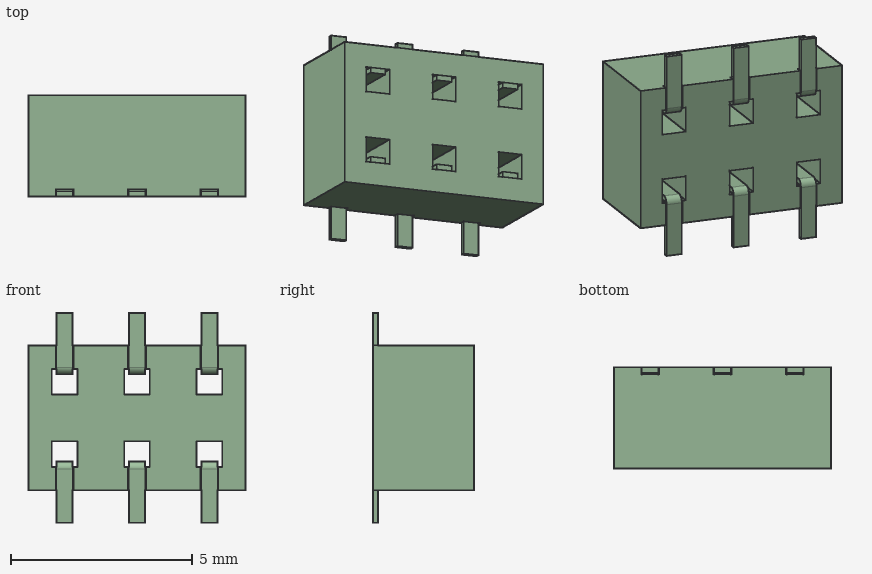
import cadquery as cq

HOUSING_LENGTH = 6.0
HOUSING_DEPTH = 2.8
HOUSING_HEIGHT = HOUSING_LENGTH * 2 / 3

PITCH = HOUSING_LENGTH / 3
COLUMNS = (-PITCH, 0, PITCH)
ROW_OFFSET = PITCH / 2
UPPER_ROW, LOWER_ROW = 1, -1
ROWS = (UPPER_ROW, LOWER_ROW)

CONTACT_WIDTH = 0.45
CONTACT_THICKNESS = 0.15
BEND_OUTER_RADIUS = 0.2
BEND_INNER_RADIUS = BEND_OUTER_RADIUS - CONTACT_THICKNESS
FOOT_OVERHANG = 0.9
FOOT_TIP = HOUSING_HEIGHT / 2 + FOOT_OVERHANG
TAIL_INNER_FACE = 1.2
TAIL_OUTER_FACE = TAIL_INNER_FACE + CONTACT_THICKNESS

SOCKET_SIZE = 2 * (TAIL_OUTER_FACE - ROW_OFFSET)

GROOVE_WIDTH = 0.5
GROOVE_DEPTH = 0.2
GROOVE_LENGTH = HOUSING_HEIGHT / 2 - ROW_OFFSET
GROOVE_OFFSET = ROW_OFFSET + GROOVE_LENGTH / 2


def block_from_front(width, depth, height):
    """Block centred in X and Z that runs back from the solder side."""
    return cq.Workplane("XY").box(width, depth, height, centered=(True, False, True))


def make_housing():
    body = block_from_front(HOUSING_LENGTH, HOUSING_DEPTH, HOUSING_HEIGHT)
    socket = block_from_front(SOCKET_SIZE, HOUSING_DEPTH, SOCKET_SIZE)
    groove = block_from_front(GROOVE_WIDTH, GROOVE_DEPTH, GROOVE_LENGTH)
    for row in ROWS:
        for x in COLUMNS:
            body = body.cut(socket.translate((x, 0, row * ROW_OFFSET)))
            body = body.cut(groove.translate((x, 0, row * GROOVE_OFFSET)))
    return body.solids()


def make_contact(x, row):
    """L-shaped strip whose foot points up in the upper row and down in the lower row."""
    strip = (
        cq.Workplane("YZ")
        .moveTo(0, FOOT_TIP)
        .lineTo(0, TAIL_INNER_FACE)
        .lineTo(HOUSING_DEPTH, TAIL_INNER_FACE)
        .lineTo(HOUSING_DEPTH, TAIL_OUTER_FACE)
        .lineTo(CONTACT_THICKNESS, TAIL_OUTER_FACE)
        .lineTo(CONTACT_THICKNESS, FOOT_TIP)
        .close()
        .extrude(CONTACT_WIDTH / 2, both=True)
    )
    outer_corner = cq.selectors.NearestToPointSelector((0, 0, TAIL_INNER_FACE))
    inner_corner = cq.selectors.NearestToPointSelector((0, CONTACT_THICKNESS, TAIL_OUTER_FACE))
    strip = strip.edges(outer_corner).fillet(BEND_OUTER_RADIUS)
    strip = strip.edges(inner_corner).fillet(BEND_INNER_RADIUS)
    if row == LOWER_ROW:
        strip = strip.mirror("XY")
    return strip.translate((x, 0, 0)).solids()


housing = make_housing()
contacts = [make_contact(x, row) for row in ROWS for x in COLUMNS]

result = cq.Compound.makeCompound([housing.val(), *[contact.val() for contact in contacts]])